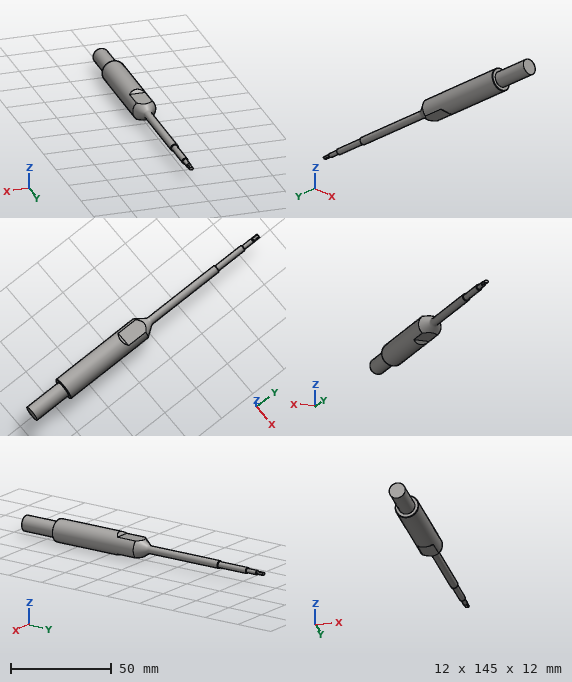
import cadquery as cq
import math

TOTAL_LENGTH = 145.0

TIP_DIAMETER = 2.3
MIDDLE_DIAMETER = 3.2
ROD_DIAMETER = 4.0
HANDLE_DIAMETER = 12.0
SHANK_DIAMETER = 8.3

MIDDLE_START = 9.7
ROD_START = 26.7
HANDLE_START = 75.4
HANDLE_END = 125.0

STEP_CHAMFER = 0.3
HANDLE_CHAMFER = 0.3
NECK_ANGLE = math.radians(35)
NECK_RADIUS = 2.3

FLATS_WIDTH = 8.8
FLATS_END = 86.4

BIT_THICKNESS = 1.3
BIT_FACE_WIDTH = 1.2
BIT_CONE_START = 3.2
BIT_CONE_END = 4.0


def along(distance):
    """Y position at a distance from the tip."""
    return TOTAL_LENGTH / 2 - distance


def turned_body():
    tip_r = TIP_DIAMETER / 2
    middle_r = MIDDLE_DIAMETER / 2
    rod_r = ROD_DIAMETER / 2
    handle_r = HANDLE_DIAMETER / 2
    shank_r = SHANK_DIAMETER / 2

    arc_end_r = rod_r + NECK_RADIUS * (1 - math.cos(NECK_ANGLE))
    arc_end = HANDLE_START - (handle_r - arc_end_r) / math.tan(NECK_ANGLE)
    arc_start = arc_end - NECK_RADIUS * math.sin(NECK_ANGLE)
    half_angle = NECK_ANGLE / 2
    arc_mid_r = rod_r + NECK_RADIUS * (1 - math.cos(half_angle))
    arc_mid = arc_start + NECK_RADIUS * math.sin(half_angle)

    return (
        cq.Workplane("XY")
        .moveTo(0, along(BIT_CONE_START))
        .lineTo(BIT_THICKNESS / 2, along(BIT_CONE_START))
        .lineTo(tip_r, along(BIT_CONE_END))
        .lineTo(tip_r, along(MIDDLE_START))
        .lineTo(middle_r - STEP_CHAMFER, along(MIDDLE_START))
        .lineTo(middle_r, along(MIDDLE_START + STEP_CHAMFER))
        .lineTo(middle_r, along(ROD_START))
        .lineTo(rod_r - STEP_CHAMFER, along(ROD_START))
        .lineTo(rod_r, along(ROD_START + STEP_CHAMFER))
        .lineTo(rod_r, along(arc_start))
        .threePointArc((arc_mid_r, along(arc_mid)), (arc_end_r, along(arc_end)))
        .lineTo(handle_r, along(HANDLE_START))
        .lineTo(handle_r, along(HANDLE_END - HANDLE_CHAMFER))
        .lineTo(handle_r - HANDLE_CHAMFER, along(HANDLE_END))
        .lineTo(shank_r, along(HANDLE_END))
        .lineTo(shank_r, along(TOTAL_LENGTH))
        .lineTo(0, along(TOTAL_LENGTH))
        .close()
        .revolve(360, (0, 0), (0, 1))
    )


def wrench_flats():
    """Cutter for both flats, from the tip end to the 45 degree ramps."""
    inner = FLATS_WIDTH / 2
    outer = HANDLE_DIAMETER
    upper = (
        cq.Workplane("YZ")
        .moveTo(along(0), inner)
        .lineTo(along(FLATS_END), inner)
        .lineTo(along(FLATS_END + outer - inner), outer)
        .lineTo(along(0), outer)
        .close()
        .extrude(HANDLE_DIAMETER, both=True)
    )
    return upper.union(upper.mirror("XY"))


def driving_bit():
    corner = TIP_DIAMETER / 2
    face = BIT_FACE_WIDTH / 2
    top = BIT_THICKNESS / 2
    corners = [(corner, 0), (face, top), (-face, top), (-corner, 0), (-face, -top), (face, -top)]
    return (
        cq.Workplane("XZ", origin=(0, along(0), 0))
        .polyline(corners)
        .close()
        .extrude(BIT_CONE_END)
    )


result = turned_body().cut(wrench_flats()).union(driving_bit())